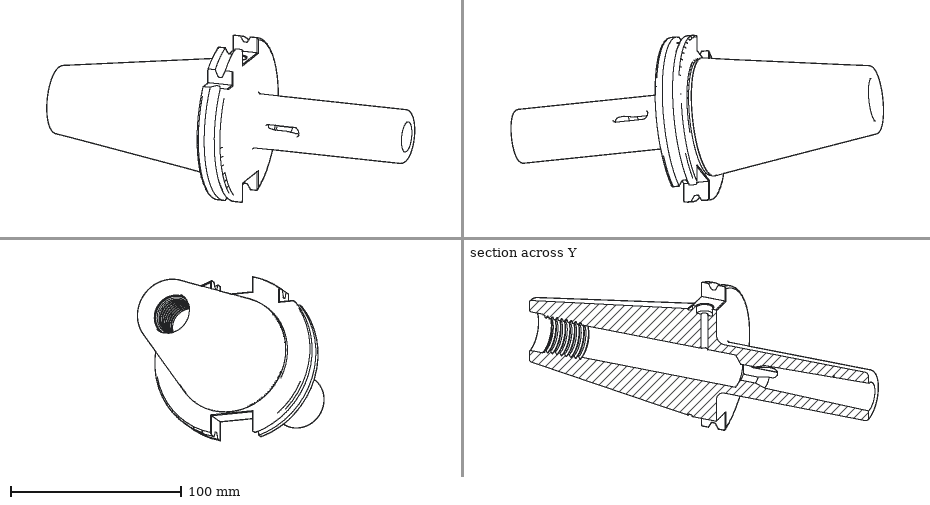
import cadquery as cq
import math


GAUGE_RADIUS = 69.85 / 2
TAPER_LENGTH = 101.75
TAPER_SLOPE = 7 / 48
TAPER_END_FILLET = 2.0
TAPER_OVERRUN = 0.6
RELIEF_RADIUS = 34.3
RELIEF_FILLET = 0.8

FLANGE_RADIUS = 97.5 / 2
FLANGE_START = 3.2
FLANGE_END = 19.1
FLANGE_RIM_FILLET = 1.2
GROOVE_CENTER = 11.2
GROOVE_FLOOR_RADIUS = 45.3
GROOVE_HALF_MOUTH = 3.15
GROOVE_FLANK_ANGLE = 30
GROOVE_FLOOR_FILLET = 1.6

SLOT_WIDTH = 25.7
UPPER_SLOT_FLOOR = 37.7
LOWER_SLOT_FLOOR = 35.4
NOTCH_OFFSET = 30.0
SLOT_EDGE_CHAMFER = 0.5

CHIP_HOLE_DIAMETER = 10.0
CHIP_HOLE_DEPTH = 4.6
CHIP_HOLE_CHAMFER = 0.5
VENT_DIAMETER = 4.0
GROOVE_HOLE_DIAMETER = 3.0
GROOVE_HOLE_DEPTH = 8.0
GROOVE_HOLE_ANGLE = 30

SLEEVE_RADIUS = 16.0
SLEEVE_END = 117.0
SLEEVE_END_FILLET = 2.5
SLEEVE_ROOT_FILLET = 5.0

MORSE_MOUTH_RADIUS = 17.78 / 2
MORSE_DEPTH = 67.0
MORSE_TAPER = 0.04995
DRIFT_WIDTH = 6.3
DRIFT_LENGTH = 22.0
DRIFT_CENTER = 44.0
DRIFT_EDGE_FILLET = 1.0

PILOT_RADIUS = 12.5
PILOT_DEPTH = 9.0
PILOT_MOUTH_FILLET = 1.5
LAND_LENGTH = 1.0
COUNTERSINK_RADIUS = 11.0
COUNTERSINK_LENGTH = 1.0
THREAD_MAJOR_RADIUS = 12.0
THREAD_BORE_RADIUS = 10.4
THREAD_PITCH = 3.0
THREAD_TURNS = 8
THREAD_FLANK_LENGTH = 0.9
THREAD_ROOT_LENGTH = 0.2
LINK_BORE_RADIUS = 5.1
CONE_HALF_ANGLE = 59
CONE_RADIUS_AT_DRIFT = 7.4

TAPER_SMALL_END = -TAPER_LENGTH
DRIFT_START = DRIFT_CENTER - DRIFT_LENGTH / 2


def revolve_about_x(outline):
    return outline.close().revolve(360, (0, 0, 0), (1, 0, 0))


def box_between(x_range, y_range, z_range):
    (x0, x1), (y0, y1), (z0, z1) = x_range, y_range, z_range
    return cq.Workplane("XY").box(x1 - x0, y1 - y0, z1 - z0, centered=False).translate((x0, y0, z0))


def round_edges_at(solid, x, radius, size):
    """Fillet the full circular edges of the given radius at station x."""
    tol = 1e-3
    selector = cq.selectors.BoxSelector(
        (x - tol, -radius - tol, -radius - tol), (x + tol, radius + tol, radius + tol), boundingbox=True
    )
    outermost = cq.selectors.RadiusNthSelector(-1)
    return solid.edges(selector).edges(outermost).fillet(size)


def make_body():
    small_radius = GAUGE_RADIUS - TAPER_LENGTH * TAPER_SLOPE
    outline = (
        cq.Workplane("XZ")
        .moveTo(TAPER_SMALL_END, 0)
        .lineTo(TAPER_SMALL_END, small_radius)
        .lineTo(TAPER_OVERRUN, GAUGE_RADIUS + TAPER_OVERRUN * TAPER_SLOPE)
        .lineTo(TAPER_OVERRUN, RELIEF_RADIUS)
        .lineTo(FLANGE_START, RELIEF_RADIUS)
        .lineTo(FLANGE_START, FLANGE_RADIUS)
        .lineTo(FLANGE_END, FLANGE_RADIUS)
        .lineTo(FLANGE_END, SLEEVE_RADIUS)
        .lineTo(SLEEVE_END, SLEEVE_RADIUS)
        .lineTo(SLEEVE_END, 0)
    )
    body = revolve_about_x(outline)
    body = round_edges_at(body, TAPER_SMALL_END, small_radius, TAPER_END_FILLET)
    body = round_edges_at(body, FLANGE_START, RELIEF_RADIUS, RELIEF_FILLET)
    for face_x in (FLANGE_START, FLANGE_END):
        body = round_edges_at(body, face_x, FLANGE_RADIUS, FLANGE_RIM_FILLET)
    body = round_edges_at(body, FLANGE_END, SLEEVE_RADIUS, SLEEVE_ROOT_FILLET)
    return round_edges_at(body, SLEEVE_END, SLEEVE_RADIUS, SLEEVE_END_FILLET)


def make_groove():
    depth = FLANGE_RADIUS - GROOVE_FLOOR_RADIUS
    half_floor = GROOVE_HALF_MOUTH - depth * math.tan(math.radians(GROOVE_FLANK_ANGLE))
    outline = (
        cq.Workplane("XZ")
        .moveTo(GROOVE_CENTER - GROOVE_HALF_MOUTH, FLANGE_RADIUS)
        .lineTo(GROOVE_CENTER - half_floor, GROOVE_FLOOR_RADIUS)
        .lineTo(GROOVE_CENTER + half_floor, GROOVE_FLOOR_RADIUS)
        .lineTo(GROOVE_CENTER + GROOVE_HALF_MOUTH, FLANGE_RADIUS)
    )
    groove = revolve_about_x(outline)
    for side in (-1, 1):
        groove = round_edges_at(
            groove, GROOVE_CENTER + side * half_floor, GROOVE_FLOOR_RADIUS, GROOVE_FLOOR_FILLET
        )
    return groove


def make_pocket(y_range, z_range):
    """Pocket through the flange; its edges on both flange faces are chamfered."""
    pocket = box_between((FLANGE_START, FLANGE_END), y_range, z_range)
    return pocket.union(
        make_flare(FLANGE_START, 1, y_range, z_range)
    ).union(make_flare(FLANGE_END, -1, y_range, z_range))


def make_flare(face_x, inward, y_range, z_range):
    """Frustum that widens a pocket by the edge chamfer at one flange face."""
    width = y_range[1] - y_range[0]
    height = z_range[1] - z_range[0]
    grow = 2 * SLOT_EDGE_CHAMFER
    return (
        cq.Workplane("YZ")
        .workplane(offset=face_x)
        .center(sum(y_range) / 2, sum(z_range) / 2)
        .rect(width + grow, height + grow)
        .workplane(offset=inward * SLOT_EDGE_CHAMFER)
        .rect(width, height)
        .loft(ruled=True)
    )


def make_flange_pockets():
    outside = FLANGE_RADIUS + 1
    half = SLOT_WIDTH / 2
    upper = make_pocket((-half, half), (UPPER_SLOT_FLOOR, outside))
    lower = make_pocket((-half, half), (-outside, -LOWER_SLOT_FLOOR))
    notch = make_pocket((-outside, -NOTCH_OFFSET), (NOTCH_OFFSET, outside))
    return upper.union(lower).union(notch)


def make_flange_holes():
    plane = cq.Workplane("XY", origin=(GROOVE_CENTER, 0, 0))
    chip = (
        plane.workplane(offset=UPPER_SLOT_FLOOR - CHIP_HOLE_DEPTH)
        .circle(CHIP_HOLE_DIAMETER / 2)
        .extrude(CHIP_HOLE_DEPTH)
    )
    rim = (
        plane.workplane(offset=UPPER_SLOT_FLOOR)
        .circle(CHIP_HOLE_DIAMETER / 2 + CHIP_HOLE_CHAMFER)
        .workplane(offset=-CHIP_HOLE_CHAMFER)
        .circle(CHIP_HOLE_DIAMETER / 2)
        .loft()
    )
    vent = plane.circle(VENT_DIAMETER / 2).extrude(UPPER_SLOT_FLOOR - CHIP_HOLE_DEPTH)
    groove_hole = (
        plane.workplane(offset=GROOVE_FLOOR_RADIUS - GROOVE_HOLE_DEPTH)
        .circle(GROOVE_HOLE_DIAMETER / 2)
        .extrude(GROOVE_HOLE_DEPTH + 1)
        .rotate((0, 0, 0), (1, 0, 0), -GROOVE_HOLE_ANGLE)
    )
    return chip.union(rim).union(vent).union(groove_hole)


def make_drawbar_bore():
    slope = math.tan(math.radians(CONE_HALF_ANGLE))
    cone_start = DRIFT_START - (THREAD_BORE_RADIUS - CONE_RADIUS_AT_DRIFT) / slope
    cone_end = DRIFT_START + (CONE_RADIUS_AT_DRIFT - LINK_BORE_RADIUS) / slope
    pilot_end = TAPER_SMALL_END + PILOT_DEPTH
    land_end = pilot_end + LAND_LENGTH
    mouth_radius = PILOT_RADIUS + PILOT_MOUTH_FILLET
    outline = (
        cq.Workplane("XZ")
        .moveTo(TAPER_SMALL_END, 0)
        .lineTo(TAPER_SMALL_END, mouth_radius)
        .radiusArc((TAPER_SMALL_END + PILOT_MOUTH_FILLET, PILOT_RADIUS), -PILOT_MOUTH_FILLET)
        .lineTo(pilot_end, PILOT_RADIUS)
        .lineTo(pilot_end, THREAD_MAJOR_RADIUS)
        .lineTo(land_end, THREAD_MAJOR_RADIUS)
        .lineTo(land_end, COUNTERSINK_RADIUS)
        .lineTo(land_end + COUNTERSINK_LENGTH, THREAD_BORE_RADIUS)
        .lineTo(cone_start, THREAD_BORE_RADIUS)
        .lineTo(cone_end, LINK_BORE_RADIUS)
        .lineTo(DRIFT_CENTER, LINK_BORE_RADIUS)
        .lineTo(DRIFT_CENTER, 0)
    )
    bore = revolve_about_x(outline)
    for turn in range(THREAD_TURNS):
        bore = bore.union(make_thread_ring(land_end + COUNTERSINK_LENGTH + turn * THREAD_PITCH))
    return bore


def make_thread_ring(start_x):
    """Disc whose bevelled rim cuts one thread groove into the bore wall."""
    root_start = start_x + THREAD_FLANK_LENGTH
    root_end = root_start + THREAD_ROOT_LENGTH
    end_x = root_end + THREAD_FLANK_LENGTH
    outline = (
        cq.Workplane("XZ")
        .moveTo(start_x, 0)
        .lineTo(start_x, THREAD_BORE_RADIUS)
        .lineTo(root_start, THREAD_MAJOR_RADIUS)
        .lineTo(root_end, THREAD_MAJOR_RADIUS)
        .lineTo(end_x, THREAD_BORE_RADIUS)
        .lineTo(end_x, 0)
    )
    return revolve_about_x(outline)


def make_morse_socket():
    socket_end = SLEEVE_END - MORSE_DEPTH
    end_radius = MORSE_MOUTH_RADIUS - MORSE_DEPTH * MORSE_TAPER / 2
    outline = (
        cq.Workplane("XZ")
        .moveTo(SLEEVE_END, 0)
        .lineTo(SLEEVE_END, MORSE_MOUTH_RADIUS)
        .lineTo(socket_end, end_radius)
        .lineTo(DRIFT_CENTER, LINK_BORE_RADIUS)
        .lineTo(DRIFT_CENTER, 0)
    )
    return revolve_about_x(outline)


def cut_drift_slot(body):
    """Cut the drift slot across the sleeve and round its edges on the sleeve surface."""
    slot = (
        cq.Workplane("XZ", origin=(DRIFT_CENTER, 0, 0))
        .slot2D(DRIFT_LENGTH, DRIFT_WIDTH)
        .extrude(SLEEVE_RADIUS, both=True)
    )
    half_length = DRIFT_LENGTH / 2 + DRIFT_EDGE_FILLET
    half_width = DRIFT_WIDTH / 2 + DRIFT_EDGE_FILLET
    around_slot = cq.selectors.BoxSelector(
        (DRIFT_CENTER - half_length, -SLEEVE_RADIUS - 1, -half_width),
        (DRIFT_CENTER + half_length, SLEEVE_RADIUS + 1, half_width),
        boundingbox=True,
    )
    return body.cut(slot).edges(around_slot).edges("not |Y").fillet(DRIFT_EDGE_FILLET)


result = (
    cut_drift_slot(make_body())
    .cut(make_groove())
    .cut(make_flange_pockets())
    .cut(make_flange_holes())
    .cut(make_drawbar_bore())
    .cut(make_morse_socket())
)